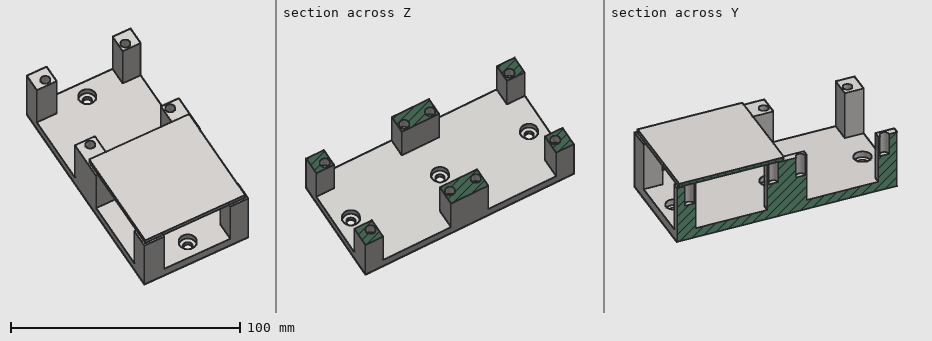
import cadquery as cq

LENGTH = 105.0
WIDTH = 52.0
TOTAL_HEIGHT = 31.0
FLOOR_THICKNESS = 5.0

PLATE_SIDE = 50.0
PLATE_THICKNESS = 2.0
PLATE_END_MARGIN = 1.0

POST_TOP = TOTAL_HEIGHT - PLATE_THICKNESS
END_POST_LENGTH = 9.0
MIDDLE_POST_LENGTH = 18.9
BACK_POST_WIDTH = 9.0
FRONT_POST_WIDTH = 10.0

POST_HOLE_DIAMETER = 4.3
POST_HOLE_DEPTH = 10.5
POST_HOLE_SPACING = 40.0
POST_HOLE_INSET = 6.0

SCREW_DIAMETER = 4.2
SCREW_HEAD_DIAMETER = 8.0
SCREW_HEAD_DEPTH = 3.0
SCREW_PITCH = 44.8


def make_post(length, width, center_x, side):
    """Post flush with the front (side = -1) or back (side = +1) edge, rising from the underside."""
    center_y = side * (WIDTH - width) / 2
    return (
        cq.Workplane("XY")
        .center(center_x, center_y)
        .rect(length, width)
        .extrude(POST_TOP)
    )


def make_tray():
    tray = cq.Workplane("XY").rect(LENGTH, WIDTH).extrude(FLOOR_THICKNESS)

    end_post_x = (LENGTH - END_POST_LENGTH) / 2
    for side, width in ((-1, FRONT_POST_WIDTH), (1, BACK_POST_WIDTH)):
        for center_x, length in (
            (-end_post_x, END_POST_LENGTH),
            (0, MIDDLE_POST_LENGTH),
            (end_post_x, END_POST_LENGTH),
        ):
            tray = tray.union(make_post(length, width, center_x, side))

    outer_hole_x = LENGTH / 2 - POST_HOLE_INSET
    inner_hole_x = outer_hole_x - POST_HOLE_SPACING
    hole_y = POST_HOLE_SPACING / 2
    post_holes = [
        (x, y)
        for x in (-outer_hole_x, -inner_hole_x, inner_hole_x, outer_hole_x)
        for y in (-hole_y, hole_y)
    ]
    hole_cutters = (
        cq.Workplane("XY", origin=(0, 0, POST_TOP))
        .pushPoints(post_holes)
        .circle(POST_HOLE_DIAMETER / 2)
        .extrude(-POST_HOLE_DEPTH)
    )
    tray = tray.cut(hole_cutters)

    screw_points = [(-SCREW_PITCH, 0), (0, 0), (SCREW_PITCH, 0)]
    return (
        tray.copyWorkplane(cq.Workplane("XY", origin=(0, 0, FLOOR_THICKNESS)))
        .pushPoints(screw_points)
        .cboreHole(SCREW_DIAMETER, SCREW_HEAD_DIAMETER, SCREW_HEAD_DEPTH, FLOOR_THICKNESS)
    )


def make_cover_plate():
    center_x = LENGTH / 2 - PLATE_END_MARGIN - PLATE_SIDE / 2
    return (
        cq.Workplane("XY", origin=(center_x, 0, POST_TOP))
        .rect(PLATE_SIDE, PLATE_SIDE)
        .extrude(PLATE_THICKNESS)
    )


tray = make_tray()
cover_plate = make_cover_plate()
result = cq.Compound.makeCompound([tray.solids().val(), cover_plate.val()])